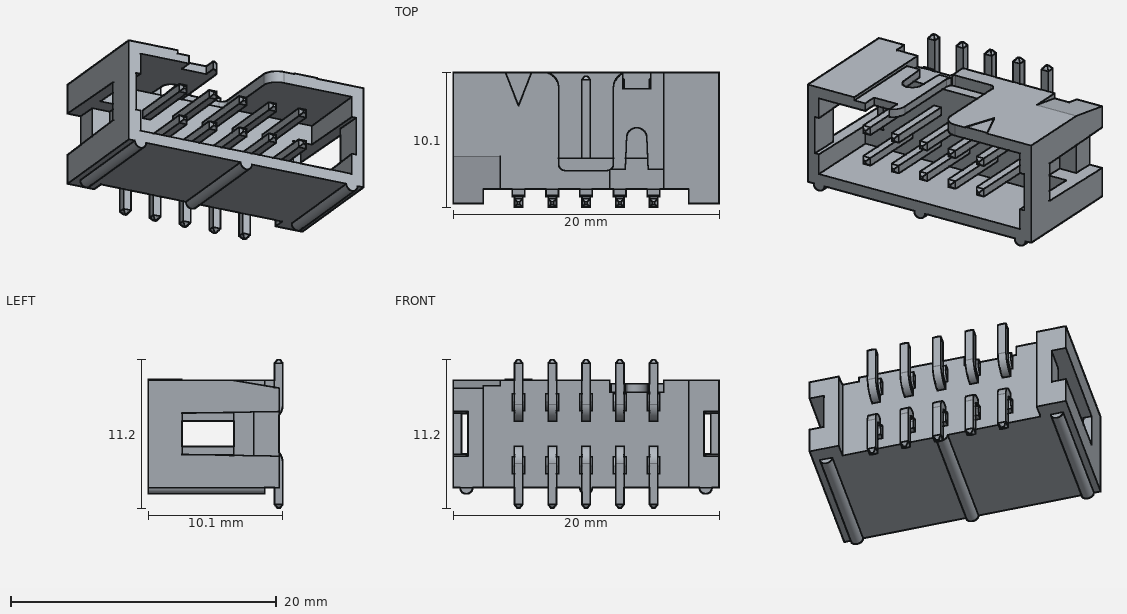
import cadquery as cq
import math


length = 20.02
height = 8.09
mating_y = 8.79
half_length = length / 2
half_height = height / 2

foot_depth = 1.08
foot_width = 2.28
rear_y = -foot_depth

cavity_floor_y = 2.35
cavity_half_height = 3.15
cavity_length = 18.02

opening_rear_height = 3.36
opening_front_height = 3.0
window_front_y = 6.23
window_wall = 0.65
notch_depth = 1.12
latch_pocket_rear_y = 0.82
latch_pocket_depth = 2.6

key_slot_width = 4.12
key_slot_rear_y = 1.4
key_slot_corner_radius = 0.48
key_slot_mouth_radius = 1.12

pitch = 2.55
pins_per_row = 5
pin_width = 0.65
pin_front_y = 8.5
pin_rear_y = -1.36
leg_end_z = 5.59
bend_radius = 1.26
tip_length = 0.28
tip_width = 0.2

pad_width = 0.96
pad_depth = 0.58
pad_outer_depth = 0.45
pad_embedded_y = 0.4
pad_inner_z = 1.72
pad_outer_z = 3.02
pad_radius = 0.7

tongue_x = 1.5 * pitch
tongue_width = 4.05
tongue_top_z = 3.78
tongue_rear_y = 1.5
tongue_slot_rear_half_width = 0.86
tongue_slot_radius = 0.76
tongue_slot_end_y = 4.62
tongue_notch_width = 2.1
tongue_notch_depth = 1.22

marker_x = -2 * pitch
marker_width = 1.96
marker_length = 2.52
marker_height = 0.06

label_width = 3.56
label_front_y = 2.48
label_drop = 0.6

rib_radius = 0.48
rib_spacing = 9.0


def block(x_range, y_range, z_range):
    """Box spanning the given (low, high) ranges."""
    sizes = [high - low for low, high in (x_range, y_range, z_range)]
    corner = (x_range[0], y_range[0], z_range[0])
    return cq.Workplane("XY").box(*sizes, centered=False).translate(corner)


def centred(middle, width):
    """Range of the given width around a middle value."""
    return (middle - width / 2, middle + width / 2)


def plate(outline, z_low, z_high):
    """Extrude a closed XY outline between two heights."""
    return outline.extrude(z_high - z_low).translate((0, 0, z_low))


def mirrored_pair(solid, plane):
    """The solid together with its mirror image."""
    return solid.union(solid.mirror(plane))


def make_housing():
    full_height = centred(0, height)
    housing = block(centred(0, length), (0, mating_y), full_height)
    foot = block((half_length - foot_width, half_length), (rear_y, 0), full_height)
    return housing.union(mirrored_pair(foot, "YZ"))


def make_cavity():
    return block(
        centred(0, cavity_length),
        (cavity_floor_y, mating_y),
        centred(0, 2 * cavity_half_height),
    )


def make_end_openings():
    """Window, inner groove, rear notch and latch pocket in each end wall, sharing one draft."""
    full_height = centred(0, height)
    groove_x = half_length - window_wall
    pocket_x = half_length - latch_pocket_depth
    window = block((pocket_x, half_length), (cavity_floor_y, window_front_y), full_height)
    groove = block((pocket_x, groove_x), (cavity_floor_y, mating_y), full_height)
    notch = block((half_length - notch_depth, half_length), (rear_y, cavity_floor_y), full_height)
    latch_pocket = block((pocket_x, half_length), (latch_pocket_rear_y, cavity_floor_y), full_height)
    drafted_prism = (
        cq.Workplane("YZ")
        .polyline([
            (rear_y, -opening_rear_height / 2),
            (mating_y, -opening_front_height / 2),
            (mating_y, opening_front_height / 2),
            (rear_y, opening_rear_height / 2),
        ])
        .close()
        .extrude(half_length)
    )
    opening = window.union(groove).union(notch).union(latch_pocket).intersect(drafted_prism)
    return mirrored_pair(opening, "YZ")


def make_key_slot():
    """Slot with rounded inner corners and a mouth that flares at the mating face."""
    half_width = key_slot_width / 2
    straight_end_y = mating_y - key_slot_mouth_radius
    mouth_half_width = half_width + key_slot_mouth_radius
    inset = key_slot_mouth_radius * (1 - math.sqrt(0.5))
    slot = block(
        centred(0, key_slot_width),
        (key_slot_rear_y, mating_y),
        (cavity_half_height, half_height),
    ).edges("|Z and <Y").fillet(key_slot_corner_radius)
    flare = (
        cq.Workplane("XY")
        .moveTo(-half_width, straight_end_y)
        .lineTo(half_width, straight_end_y)
        .threePointArc((half_width + inset, mating_y - inset), (mouth_half_width, mating_y))
        .lineTo(-mouth_half_width, mating_y)
        .threePointArc((-half_width - inset, mating_y - inset), (-half_width, straight_end_y))
        .close()
    )
    return slot.union(plate(flare, cavity_half_height, half_height))


def make_tongue_cuts():
    """Step down to the tongue, the clearance behind it, its slot and its front notch."""
    wall_z = (cavity_half_height, half_height)
    tongue_range = centred(tongue_x, tongue_width)
    step = block(tongue_range, (0, mating_y), (tongue_top_z, half_height))
    clearance = block(tongue_range, (0, tongue_rear_y), wall_z)
    notch = block(
        centred(tongue_x, tongue_notch_width),
        (mating_y - tongue_notch_depth, mating_y),
        wall_z,
    )
    arc_y = tongue_slot_end_y - tongue_slot_radius
    slot_outline = (
        cq.Workplane("XY")
        .moveTo(tongue_x - tongue_slot_rear_half_width, tongue_rear_y)
        .lineTo(tongue_x + tongue_slot_rear_half_width, tongue_rear_y)
        .lineTo(tongue_x + tongue_slot_radius, arc_y)
        .threePointArc((tongue_x, tongue_slot_end_y), (tongue_x - tongue_slot_radius, arc_y))
        .close()
    )
    return step.union(clearance).union(notch).union(plate(slot_outline, *wall_z))


def make_label_cut():
    """Wedge removed from the top, deepest at the back of the left foot."""
    return (
        cq.Workplane("YZ")
        .polyline([
            (label_front_y, half_height),
            (rear_y, half_height),
            (rear_y, half_height - label_drop),
        ])
        .close()
        .extrude(label_width)
        .translate((-half_length, 0, 0))
    )


def make_marker():
    outline = cq.Workplane("XY").polyline([
        (marker_x - marker_width / 2, mating_y),
        (marker_x + marker_width / 2, mating_y),
        (marker_x, mating_y - marker_length),
    ]).close()
    return plate(outline, half_height, half_height + marker_height)


def make_ribs():
    centres = [(x, -half_height) for x in (-rib_spacing, 0, rib_spacing)]
    return cq.Workplane("XZ").pushPoints(centres).circle(rib_radius).extrude(-mating_y)


def pin_bar(plane, bar_length):
    """Square bar from the plane origin, ending in a blunt pyramid."""
    taper = math.degrees(math.atan((pin_width - tip_width) / (2 * tip_length)))
    shaft = cq.Workplane(plane).rect(pin_width, pin_width).extrude(bar_length - tip_length)
    tip = (
        cq.Workplane(plane)
        .workplane(offset=bar_length - tip_length)
        .rect(pin_width, pin_width)
        .extrude(tip_length, taper=taper)
    )
    return shaft.union(tip)


def make_upper_pin():
    """Contact along +Y, a quarter bend behind the wall, then a leg pointing up."""
    row_z = pitch / 2
    bend_y = pin_rear_y + bend_radius
    bend_z = row_z - pin_width / 2 + bend_radius
    leg_y = pin_rear_y + pin_width / 2
    contact_plane = cq.Plane((0, bend_y, row_z), (1, 0, 0), (0, 1, 0))
    leg_plane = cq.Plane((0, leg_y, bend_z), (1, 0, 0), (0, 0, 1))
    contact = pin_bar(contact_plane, pin_front_y - bend_y)
    leg = pin_bar(leg_plane, leg_end_z - bend_z)
    bend = (
        cq.Workplane(contact_plane)
        .rect(pin_width, pin_width)
        .revolve(90, (0.2, row_z - bend_z, 0), (0, row_z - bend_z, 0))
    )
    return contact.union(bend).union(leg)


def make_upper_pad():
    """Standoff on the rear wall with a sloped back, rounded on the side of the pin bend."""
    arc_middle = pad_radius * math.sqrt(0.5)
    arc_centre_y = pad_radius - pad_depth
    crest_z = pad_inner_z + pad_radius
    return (
        cq.Workplane("YZ")
        .moveTo(pad_embedded_y, pad_outer_z)
        .lineTo(-pad_outer_depth, pad_outer_z)
        .lineTo(-pad_depth, crest_z)
        .threePointArc((arc_centre_y - arc_middle, crest_z - arc_middle), (arc_centre_y, pad_inner_z))
        .lineTo(pad_embedded_y, pad_inner_z)
        .close()
        .extrude(pad_width / 2, both=True)
    )


housing = (
    make_housing()
    .cut(make_cavity())
    .cut(make_end_openings())
    .cut(make_key_slot())
    .cut(make_tongue_cuts())
    .cut(make_label_cut())
    .union(make_marker())
    .union(make_ribs())
)

pin_pair = mirrored_pair(make_upper_pin().union(make_upper_pad()), "XY")
result = housing
for index in range(pins_per_row):
    pin_x = (index - (pins_per_row - 1) / 2) * pitch
    result = result.union(pin_pair.translate((pin_x, 0, 0)))